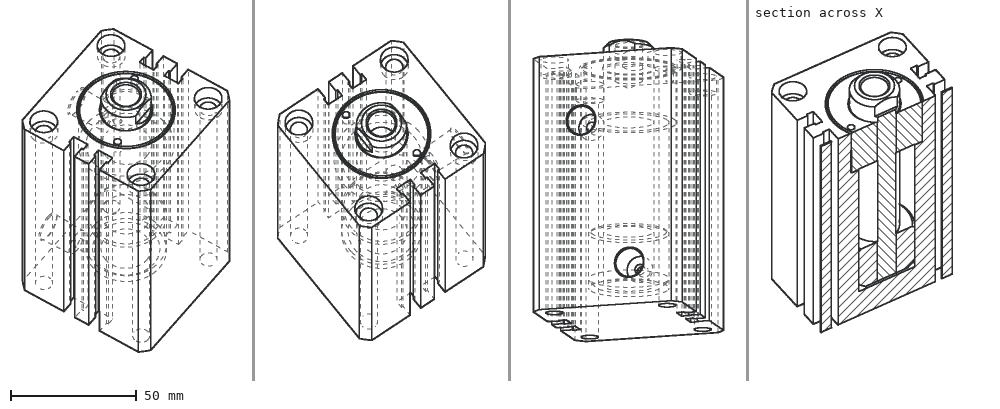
import cadquery as cq
import math

total_height = 113.0
body_width = 62.0
body_height = 103.0
corner_turning_dia = 82.9

slot_offset = 6.0
slot_mouth_width = 5.2
slot_inner_width = 6.8
slot_mouth_depth = 5.0
slot_total_depth = 8.0

bolt_offset = 23.5
bolt_hole_dia = 6.8
bolt_head_dia = 11.0
bolt_head_depth = 6.7

bore_dia = 32.0
bore_floor = 13.6
cover_dia = 38.1
cover_thickness = 22.0
cover_bottom = body_height - cover_thickness
edge_chamfer = 0.6
spanner_radius = 16.4
spanner_angle = 112.9
spanner_dia = 2.9
spanner_depth = 5.0

port_y = 10.1
lower_port_z = 16.8
upper_port_z = body_height - 27.0
port_dia = 11.4
port_chamfer = 0.5
port_depth = 14.0
port_taper = 1 / 16
pilot_dia = 4.1

piston_bottom = 14.5
piston_length = 22.0
piston_top = piston_bottom + piston_length
piston_chamfer = 0.9
lead_angle = 30.0
lead_height = 0.8
nose_chamfer = 2.1

rod_dia = 20.0
rod_chamfer = 2.0
flat_width = 17.0
flat_length = 7.2
thread_hole_dia = 11.0
thread_hole_depth = 15.0
thread_hole_chamfer = 0.7
drill_tip_angle = 118.0


def cylinder(diameter, bottom, top):
    return cq.Workplane("XY").workplane(offset=bottom).circle(diameter / 2).extrude(top - bottom)


def drilled_hole(x, y, top, diameter, depth):
    """Cutter for a blind hole going down from `top`, with a conical drill tip below `depth`."""
    radius = diameter / 2
    tip = radius / math.tan(math.radians(drill_tip_angle / 2))
    profile = [(0, top), (radius, top), (radius, top - depth), (0, top - depth - tip)]
    cutter = cq.Workplane("XZ").polyline(profile).close().revolve(360, (0, 0, 0), (0, 1, 0))
    return cutter.translate((x, y, 0))


def countersink(diameter, top, size):
    """Cutter for a 45 degree chamfer at the upper mouth of a central hole."""
    radius = diameter / 2
    profile = [(0, top), (radius + size, top), (radius, top - size), (0, top - size)]
    return cq.Workplane("XZ").polyline(profile).close().revolve(360, (0, 0, 0), (0, 1, 0))


def t_slot(x, side):
    """T-slot cutter over the full height; `side` is -1 for the -Y face and +1 for the +Y face."""
    face_y = side * body_width / 2
    inner_depth = slot_total_depth - slot_mouth_depth
    mouth = (
        cq.Workplane("XY")
        .center(x, face_y - side * slot_mouth_depth / 2)
        .rect(slot_mouth_width, slot_mouth_depth)
        .extrude(body_height)
    )
    inner = (
        cq.Workplane("XY")
        .center(x, face_y - side * (slot_total_depth - inner_depth / 2))
        .rect(slot_inner_width, inner_depth)
        .extrude(body_height)
    )
    return mouth.union(inner)


def port(y, z):
    """Cutter for a chamfered, tapered, flat-bottomed port with a pilot hole into the bore."""
    radius = port_dia / 2
    end_radius = radius - (port_depth - port_chamfer) * port_taper / 2
    reach = body_width / 2
    profile = [
        (0, 0),
        (0, radius + port_chamfer),
        (port_chamfer, radius),
        (port_depth, end_radius),
        (port_depth, pilot_dia / 2),
        (reach, pilot_dia / 2),
        (reach, 0),
    ]
    cutter = cq.Workplane("XY").polyline(profile).close().revolve(360, (0, 0, 0), (1, 0, 0))
    return cutter.translate((-body_width / 2, y, z))


def make_housing():
    """Square block with its corners turned round about the bore axis."""
    body = cq.Workplane("XY").rect(body_width, body_width).extrude(body_height)
    body = body.intersect(cylinder(corner_turning_dia, 0, body_height))
    for side in (-1, 1):
        for x in (-slot_offset, slot_offset):
            body = body.cut(t_slot(x, side))
    body = (
        body.faces(">Z")
        .workplane(origin=(0, 0, body_height))
        .rect(2 * bolt_offset, 2 * bolt_offset, forConstruction=True)
        .vertices()
        .cboreHole(bolt_hole_dia, bolt_head_dia, bolt_head_depth)
    )
    body = body.cut(port(port_y, upper_port_z))
    body = body.cut(port(-port_y, lower_port_z))
    body = body.cut(cylinder(bore_dia, bore_floor, cover_bottom))
    body = body.cut(cylinder(cover_dia, cover_bottom, body_height))
    return body.cut(countersink(cover_dia, body_height, edge_chamfer))


def make_cover():
    cover = cylinder(cover_dia, cover_bottom, body_height).faces(">Z").chamfer(edge_chamfer)
    cover = cover.cut(cylinder(rod_dia, cover_bottom, body_height))
    cover = cover.cut(countersink(rod_dia, body_height, edge_chamfer))
    for angle in (spanner_angle, spanner_angle + 180):
        x = spanner_radius * math.cos(math.radians(angle))
        y = spanner_radius * math.sin(math.radians(angle))
        cover = cover.cut(drilled_hole(x, y, body_height, spanner_dia, spanner_depth))
    return cover


def make_piston():
    """Ring on the rod whose lower edge narrows in a slim lead-in cone and then a 45 degree chamfer."""
    radius = bore_dia / 2
    bore = rod_dia / 2
    nose_top = piston_bottom + nose_chamfer
    nose_radius = radius - lead_height * math.tan(math.radians(lead_angle))
    profile = [
        (bore, piston_bottom),
        (nose_radius - nose_chamfer, piston_bottom),
        (nose_radius, nose_top),
        (radius, nose_top + lead_height),
        (radius, piston_top - piston_chamfer),
        (radius - piston_chamfer, piston_top),
        (bore, piston_top),
    ]
    return cq.Workplane("XZ").polyline(profile).close().revolve(360, (0, 0, 0), (0, 1, 0))


def flat_cutter(side):
    """Cutter for a wrench flat on the `side` (-1 or +1) of X, ending in a 45 degree run-out."""
    inner = side * flat_width / 2
    outer = side * rod_dia / 2
    flat_bottom = total_height - flat_length
    runout_bottom = flat_bottom - (rod_dia - flat_width) / 2
    profile = [(inner, total_height), (outer, total_height), (outer, runout_bottom), (inner, flat_bottom)]
    return cq.Workplane("XZ").polyline(profile).close().extrude(rod_dia / 2, both=True)


def make_rod():
    rod = cylinder(rod_dia, piston_bottom, total_height).faces(">Z").chamfer(rod_chamfer)
    for side in (-1, 1):
        rod = rod.cut(flat_cutter(side))
    rod = rod.cut(drilled_hole(0, 0, total_height, thread_hole_dia, thread_hole_depth))
    return rod.cut(countersink(thread_hole_dia, total_height, thread_hole_chamfer))


housing = make_housing()
cover = make_cover()
piston = make_piston()
rod = make_rod()

result = cq.Compound.makeCompound([housing.val(), cover.val(), piston.val(), rod.val()])